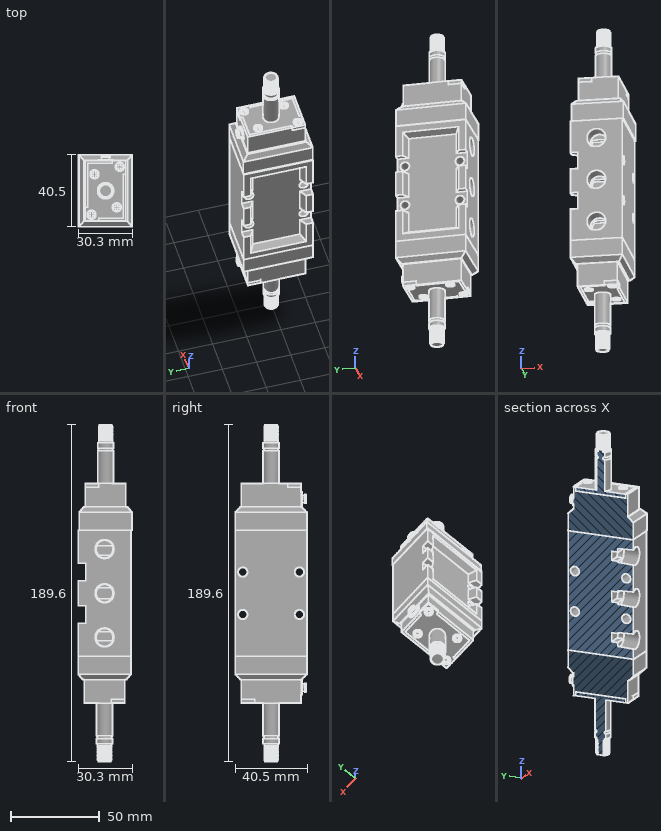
import cadquery as cq
import math

TOTAL_LENGTH = 189.6
BODY_WIDTH = 29.8
BODY_DEPTH = 40.5
BODY_LENGTH = 71.0
TOP_SHIFT = 0.5

PORT_DIAMETER = 10.6
PORT_TAPER = 1.8
PORT_DEPTH = 9.5
PORT_SPACING = 24.8
SLOT_DIAMETER = 9.5
SLOT_DEPTH = 3.8
OUTER_SLOT_HEIGHT = 5.1
MIDDLE_SLOT_HEIGHT = 6.0
OUTER_SLOT_SHIFT = 0.8

POCKET_WIDTH = 32.5
POCKET_LENGTH = 62.4
POCKET_DEPTH = 4.2
POCKET_WALL_RUN = 2.5
NOTCH_WIDTH = 9.7
MOUNT_SPACING_Y = 31.9
MOUNT_SPACING_Z = 23.9
MOUNT_DIAMETER = 5.1

CAP_HEIGHT = 13.0
CAP_BEVEL_HEIGHT = 3.0
CAP_BEVEL_X = 2.5
CAP_BEVEL_Y = 3.0
BLOCK_HEIGHT = 13.3
BLOCK_INSET = 3.5
OVERRIDE_HEIGHT = 4.5
FLANGE_DIAMETER = 8.0
FLANGE_THICKNESS = 0.5
NECK_DIAMETER = 4.4
NECK_LENGTH = 1.5
HEAD_DIAMETER = 5.1
HEAD_THICKNESS = 1.0
HEAD_CHAMFER = 0.4

PLATE_THICKNESS = 2.3
PLATE_RIM = 1.5
PLATE_CORNER = 7.5
SCREW_DIAMETER = 5.0
SCREW_SINK = 0.4
CROSS_LENGTH = 3.8
CROSS_WIDTH = 1.3
CROSS_DEPTH = 1.1
LUG_SCREW = (8.0, 13.5)
SIDE_SCREW = (-6.3, 9.3)
TUBE_DIAMETER = 9.1
RING_GROOVE_DEPTH = 0.5
RING_GROOVE_WIDTH = 1.5
RING_GROOVE_FROM_TIP = 14.6
COLLAR_FROM_TIP = 10.0
THREAD_DIAMETER = 8.0
THREAD_PITCH = 1.0
THREAD_DEPTH = 0.47
THREAD_TURNS = 9

BODY_END = BODY_LENGTH / 2
CAP_TOP = BODY_END + CAP_HEIGHT
BLOCK_TOP = CAP_TOP + BLOCK_HEIGHT
TIP = TOTAL_LENGTH / 2
BLOCK_WIDTH = BODY_WIDTH - 2 * BLOCK_INSET
BLOCK_DEPTH = BODY_DEPTH - 2 * BLOCK_INSET


def upright_box(width, depth, height, base_z):
    return cq.Workplane("XY", origin=(0, 0, base_z)).rect(width, depth).extrude(height)


def port(z, slot_height, slot_shift):
    """Blind taper-thread port in the -Y side with a flat-sided slot in its floor."""
    face = cq.Workplane("XZ", origin=(0, -BODY_DEPTH / 2, z))
    hole = face.circle(PORT_DIAMETER / 2).extrude(-PORT_DEPTH, taper=PORT_TAPER)
    bore = face.circle(SLOT_DIAMETER / 2).extrude(-PORT_DEPTH - SLOT_DEPTH)
    band = face.center(0, slot_shift).rect(SLOT_DIAMETER, slot_height).extrude(-PORT_DEPTH - SLOT_DEPTH)
    return hole.union(bore.intersect(band))


def side_pocket():
    """Tapered pocket in the -X side."""
    taper = math.degrees(math.atan(POCKET_WALL_RUN / POCKET_DEPTH))
    face = cq.Workplane("YZ", origin=(-BODY_WIDTH / 2, 0, 0))
    return face.rect(POCKET_WIDTH, POCKET_LENGTH).extrude(POCKET_DEPTH, taper=taper)


def make_body():
    body = upright_box(BODY_WIDTH, BODY_DEPTH, BODY_LENGTH, -BODY_END)
    body = body.cut(side_pocket())
    for side in (-1, 1):
        body = body.cut(port(side * PORT_SPACING, OUTER_SLOT_HEIGHT, -side * OUTER_SLOT_SHIFT))
        notch = cq.Workplane("XY").box(2 * POCKET_DEPTH, BODY_DEPTH, NOTCH_WIDTH)
        body = body.cut(notch.translate((-BODY_WIDTH / 2, 0, side * MOUNT_SPACING_Z / 2)))
    body = body.cut(port(0, MIDDLE_SLOT_HEIGHT, 0))
    mount_holes = (
        cq.Workplane("YZ")
        .rarray(MOUNT_SPACING_Y, MOUNT_SPACING_Z, 2, 2)
        .circle(MOUNT_DIAMETER / 2)
        .extrude(BODY_WIDTH, both=True)
    )
    return body.cut(mount_holes)


def plate_blank():
    """Plate set into the block, with lugs that reach two opposite corners."""
    base_z = BLOCK_TOP - PLATE_THICKNESS
    plate = upright_box(BLOCK_WIDTH - 2 * PLATE_RIM, BLOCK_DEPTH - 2 * PLATE_RIM, PLATE_THICKNESS, base_z)
    lug = upright_box(PLATE_CORNER, PLATE_CORNER, PLATE_THICKNESS, base_z)
    lug_x = (BLOCK_WIDTH - PLATE_CORNER) / 2
    lug_y = (BLOCK_DEPTH - PLATE_CORNER) / 2
    for side in (-1, 1):
        plate = plate.union(lug.translate((side * lug_x, side * lug_y, 0)))
    return plate


def override_button():
    """Flanged manual override button on the +Y side of the block."""
    start = cq.Workplane("XZ", origin=(0, BLOCK_DEPTH / 2, CAP_TOP + OVERRIDE_HEIGHT))
    neck_end = FLANGE_THICKNESS + NECK_LENGTH
    flange = start.circle(FLANGE_DIAMETER / 2).extrude(-FLANGE_THICKNESS)
    neck = start.circle(NECK_DIAMETER / 2).extrude(-neck_end)
    head = start.circle(HEAD_DIAMETER / 2).extrude(-HEAD_THICKNESS).faces(">Y").chamfer(HEAD_CHAMFER)
    return flange.union(neck).union(head.translate((0, neck_end, 0)))


def make_cap():
    straight_height = CAP_HEIGHT - CAP_BEVEL_HEIGHT
    base = upright_box(BODY_WIDTH, BODY_DEPTH, straight_height, BODY_END)
    bevel = (
        cq.Workplane("XY", origin=(0, 0, BODY_END + straight_height))
        .rect(BODY_WIDTH, BODY_DEPTH)
        .workplane(offset=CAP_BEVEL_HEIGHT)
        .rect(BODY_WIDTH - 2 * CAP_BEVEL_X, BODY_DEPTH - 2 * CAP_BEVEL_Y)
        .loft(ruled=True)
    )
    block = upright_box(BLOCK_WIDTH, BLOCK_DEPTH, BLOCK_HEIGHT, CAP_TOP)
    return base.union(bevel).union(block).cut(plate_blank()).union(override_button())


def screw_recess(x, y):
    """Sunken screw head with a cross slot."""
    top = cq.Workplane("XY", origin=(x, y, BLOCK_TOP))
    recess = top.circle(SCREW_DIAMETER / 2).extrude(-SCREW_SINK)
    bar = top.rect(CROSS_LENGTH, CROSS_WIDTH).extrude(-CROSS_DEPTH)
    crossbar = top.rect(CROSS_WIDTH, CROSS_LENGTH).extrude(-CROSS_DEPTH)
    return recess.union(bar).union(crossbar)


def armature_tube():
    """Turned tube with a round-bottomed ring groove, a collar and a threaded tip."""
    tube_radius = TUBE_DIAMETER / 2
    crest = THREAD_DIAMETER / 2
    root = crest - THREAD_DEPTH
    groove_z = TIP - RING_GROOVE_FROM_TIP
    collar_z = TIP - COLLAR_FROM_TIP
    profile = (
        cq.Workplane("XZ")
        .moveTo(0, BLOCK_TOP)
        .lineTo(tube_radius, BLOCK_TOP)
        .lineTo(tube_radius, groove_z)
        .threePointArc(
            (tube_radius - RING_GROOVE_DEPTH, groove_z + RING_GROOVE_WIDTH / 2),
            (tube_radius, groove_z + RING_GROOVE_WIDTH),
        )
        .lineTo(tube_radius, collar_z)
        .lineTo(crest, collar_z)
    )
    for turn in range(THREAD_TURNS, 0, -1):
        turn_base = TIP - turn * THREAD_PITCH
        profile = profile.lineTo(crest, turn_base)
        profile = profile.lineTo(root, turn_base + THREAD_PITCH / 2)
    profile = profile.lineTo(root, TIP).lineTo(0, TIP).close()
    return profile.revolve(360, (0, 0, 0), (0, 1, 0))


def make_pilot():
    pilot = plate_blank().union(armature_tube())
    for x, y in (LUG_SCREW, SIDE_SCREW):
        pilot = pilot.cut(screw_recess(x, y))
        pilot = pilot.cut(screw_recess(-x, -y))
    return pilot


def both_ends(part):
    """Shifted copy at the top and a copy turned about Y at the bottom."""
    top = part.translate((TOP_SHIFT, 0, 0))
    bottom = part.rotate((0, 0, 0), (0, 1, 0), 180)
    return [top.val(), bottom.val()]


body = make_body()
caps = both_ends(make_cap())
pilots = both_ends(make_pilot())

result = cq.Compound.makeCompound([body.val(), *caps, *pilots])